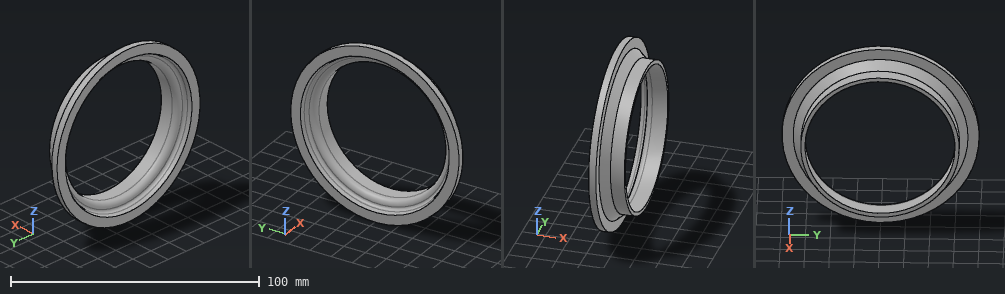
import cadquery as cq
import math

total_length = 12.7
flange_thickness = 3.1
cone_end = 6.9
seat_depth = 1.9

flange_radius = 79.4 / 2
cone_start_radius = 35.2
tube_radius = 63.75 / 2
bore_radius = 60.3 / 2
seat_mouth_radius = 35.1
seat_bottom_radius = 34.45
shoulder_radius = 33.0

floor_fillet = seat_bottom_radius - shoulder_radius
lip_fillet = shoulder_radius - bore_radius
shoulder_depth = seat_depth + floor_fillet
bore_start = shoulder_depth + lip_fillet
diagonal = math.sqrt(0.5)

floor_fillet_middle = (
    seat_depth + floor_fillet * diagonal,
    shoulder_radius + floor_fillet * diagonal,
)
lip_fillet_middle = (
    bore_start - lip_fillet * diagonal,
    shoulder_radius - lip_fillet * diagonal,
)

half_section = (
    cq.Workplane("XY")
    .moveTo(0, seat_mouth_radius)
    .lineTo(0, flange_radius)
    .lineTo(flange_thickness, flange_radius)
    .lineTo(flange_thickness, cone_start_radius)
    .lineTo(cone_end, tube_radius)
    .lineTo(total_length, tube_radius)
    .lineTo(total_length, bore_radius)
    .lineTo(bore_start, bore_radius)
    .threePointArc(lip_fillet_middle, (shoulder_depth, shoulder_radius))
    .threePointArc(floor_fillet_middle, (seat_depth, seat_bottom_radius))
    .close()
)

result = half_section.revolve(360, (0, 0, 0), (1, 0, 0))